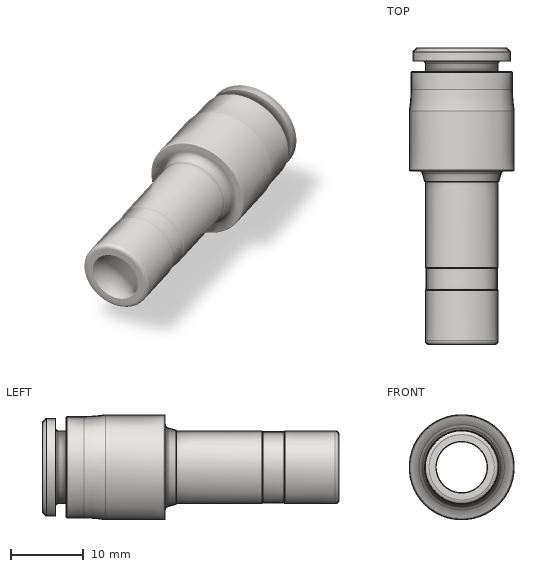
import cadquery as cq

length = 40.7
cap_end = 1.8
body_start = 3.25
taper_start = 5.7
taper_end = 8.63
body_end = 16.85
stem_start = 18.4
groove_start = 30.1
groove_end = 33.25

cap_radius = 6.7
neck_radius = 5.0
front_radius = 6.95
body_radius = 7.2
stem_radius = 5.0
groove_radius = 4.9
bore_radius = 3.5

cap_chamfer = 0.53
neck_round = 0.33
front_chamfer = 0.12
body_round = 0.15
groove_wall_run = 0.12
foot_bevel = 0.1
stem_round = 0.53

shoulder_cone_start = 17.2
shoulder_cone_radius = 5.4
shoulder_face_radius = 5.85


def profile_point(radius, distance):
    """Half-section point: X is the radius, Y falls towards the stem end."""
    return (radius, length / 2 - distance)


def turned_outline():
    """Closed half-section of the fitting, revolved about the Y axis."""
    p = profile_point
    return (
        cq.Workplane("XY")
        .moveTo(*p(bore_radius, 0))
        .lineTo(*p(cap_radius - cap_chamfer, 0))
        .lineTo(*p(cap_radius, cap_chamfer))
        .lineTo(*p(cap_radius, cap_end))
        .lineTo(*p(neck_radius + neck_round, cap_end))
        .tangentArcPoint(p(neck_radius, cap_end + neck_round), relative=False)
        .lineTo(*p(neck_radius, body_start))
        .lineTo(*p(front_radius - front_chamfer, body_start))
        .lineTo(*p(front_radius, body_start + front_chamfer))
        .lineTo(*p(front_radius, taper_start))
        .tangentArcPoint(p(body_radius, taper_end), relative=False)
        .lineTo(*p(body_radius, body_end - body_round))
        .tangentArcPoint(p(body_radius - body_round, body_end), relative=False)
        .lineTo(*p(shoulder_face_radius, body_end))
        .tangentArcPoint(p(shoulder_cone_radius, shoulder_cone_start), relative=False)
        .lineTo(*p(stem_radius + foot_bevel, stem_start - foot_bevel))
        .lineTo(*p(stem_radius, stem_start))
        .lineTo(*p(stem_radius, groove_start))
        .lineTo(*p(groove_radius, groove_start + groove_wall_run))
        .lineTo(*p(groove_radius, groove_end - groove_wall_run))
        .lineTo(*p(stem_radius, groove_end))
        .lineTo(*p(stem_radius, length - stem_round))
        .tangentArcPoint(p(stem_radius - stem_round, length), relative=False)
        .lineTo(*p(bore_radius, length))
        .close()
    )


result = turned_outline().revolve(360, (0, 0, 0), (0, 1, 0))